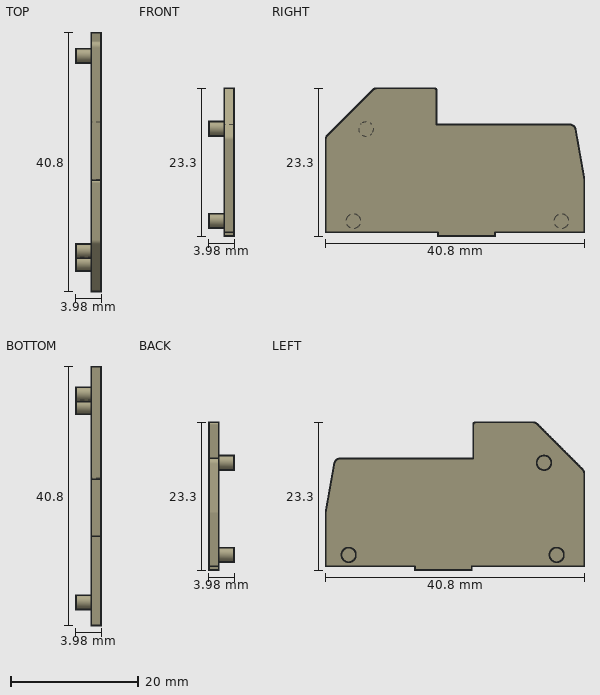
import cadquery as cq

plate_length = 40.75
plate_height = 23.3
plate_thickness = 1.58

tab_depth = 0.6
tab_start = 17.7
tab_width = 9.0

step_y = 17.5
shoulder_z = 17.6
front_chamfer = 7.7
rear_slope_run = 1.5
rear_slope_rise = 8.5
corner_radius = 1.0
step_corner_radius = 0.4

peg_diameter = 2.3
peg_length = 2.4
lower_peg_z = tab_depth + 1.8
upper_peg_z = tab_depth + 16.3
peg_centers = [
    (4.35, lower_peg_z),
    (37.1, lower_peg_z),
    (6.35, upper_peg_z),
]

rear_corner = (plate_length - rear_slope_run, shoulder_z)
step_corner = (step_y, plate_height)
chamfer_top_corner = (front_chamfer, plate_height)
chamfer_front_corner = (0, plate_height - front_chamfer)


def round_corner(body, corner, radius):
    """Round the plate edge that runs along X through the given (Y, Z) corner."""
    y, z = corner
    edge_middle = (plate_thickness / 2, y, z)
    return body.edges(cq.selectors.NearestToPointSelector(edge_middle)).fillet(radius)


def make_plate():
    outline = [
        (0, tab_depth),
        (tab_start, tab_depth),
        (tab_start, 0),
        (tab_start + tab_width, 0),
        (tab_start + tab_width, tab_depth),
        (plate_length, tab_depth),
        (plate_length, shoulder_z - rear_slope_rise),
        rear_corner,
        (step_y, shoulder_z),
        step_corner,
        chamfer_top_corner,
        chamfer_front_corner,
    ]
    plate = cq.Workplane("YZ").polyline(outline).close().extrude(plate_thickness)
    for corner in (rear_corner, chamfer_top_corner, chamfer_front_corner):
        plate = round_corner(plate, corner, corner_radius)
    return round_corner(plate, step_corner, step_corner_radius)


def make_pegs():
    return cq.Workplane("YZ").pushPoints(peg_centers).circle(peg_diameter / 2).extrude(-peg_length)


result = make_plate().union(make_pegs())